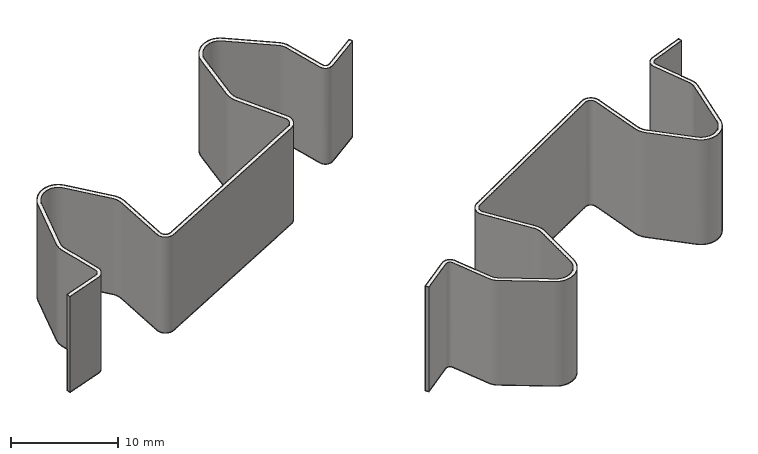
import cadquery as cq
import math

depth = 13.1
length = 42.05
height = 13.0
thickness = 0.38
half_thickness = thickness / 2

back_corner = (depth - half_thickness, 9.75)
waist_corner = (6.25, 8.32)
shoulder_corner = (5.85, 16.65)
lip_corner = (11.0, 16.7)
lip_tilt = math.radians(8.4)

back_radius = 0.85
waist_radius = 1.9
tip_radius = 1.8
shoulder_radius = 1.6
lip_radius = 0.65

tip_corner = (-1.95, 11.7)

lip_end_y = length / 2 - half_thickness * math.sin(lip_tilt)
lip_end = (lip_corner[0] - (lip_end_y - lip_corner[1]) * math.tan(lip_tilt), lip_end_y)

half_bends = [
    (back_corner, back_radius),
    (waist_corner, waist_radius),
    (tip_corner, tip_radius),
    (shoulder_corner, shoulder_radius),
    (lip_corner, lip_radius),
]


def mirrored(point):
    return (point[0], -point[1])


bends = [(mirrored(corner), radius) for corner, radius in reversed(half_bends)] + half_bends
path = [mirrored(lip_end)] + [corner for corner, radius in bends] + [lip_end]


def direction(start, end):
    """Unit vector from start to end."""
    span = math.dist(start, end)
    return cq.Vector((end[0] - start[0]) / span, (end[1] - start[1]) / span)


def left_normal(along):
    return cq.Vector(-along.y, along.x)


def bend_arc(before, bend, after, offset):
    """Start, middle and end of a bend on the strip face lying offset to the left."""
    corner, radius = bend
    incoming = direction(before, corner)
    outgoing = direction(corner, after)
    turn = math.acos(incoming.dot(outgoing))
    side = math.copysign(1, incoming.cross(outgoing).z)
    bisector = (left_normal(incoming) + left_normal(outgoing)).normalized() * side
    center = cq.Vector(*corner) + bisector * (radius / math.cos(turn / 2))
    face_radius = radius - side * offset
    outward = [left_normal(incoming) * -side, bisector * -1, left_normal(outgoing) * -side]
    return [center + normal * face_radius for normal in outward]


def strip_face_arcs(offset):
    return [bend_arc(path[i], bend, path[i + 2], offset) for i, bend in enumerate(bends)]


def end_point(end, along, offset):
    return cq.Vector(*end) + left_normal(along) * offset


def strip_outline():
    """Closed outline: along the left face, across the end, back along the right face."""
    first_along = direction(path[0], path[1])
    last_along = direction(path[-2], path[-1])
    corner = end_point(path[0], first_along, half_thickness)
    outline = cq.Workplane("XY").moveTo(corner.x, corner.y)
    for start, middle, end in strip_face_arcs(half_thickness):
        outline = outline.lineTo(start.x, start.y)
        outline = outline.threePointArc((middle.x, middle.y), (end.x, end.y))
    for offset in (half_thickness, -half_thickness):
        corner = end_point(path[-1], last_along, offset)
        outline = outline.lineTo(corner.x, corner.y)
    for start, middle, end in reversed(strip_face_arcs(-half_thickness)):
        outline = outline.lineTo(end.x, end.y)
        outline = outline.threePointArc((middle.x, middle.y), (start.x, start.y))
    corner = end_point(path[0], first_along, -half_thickness)
    return outline.lineTo(corner.x, corner.y).close()


result = strip_outline().extrude(height)